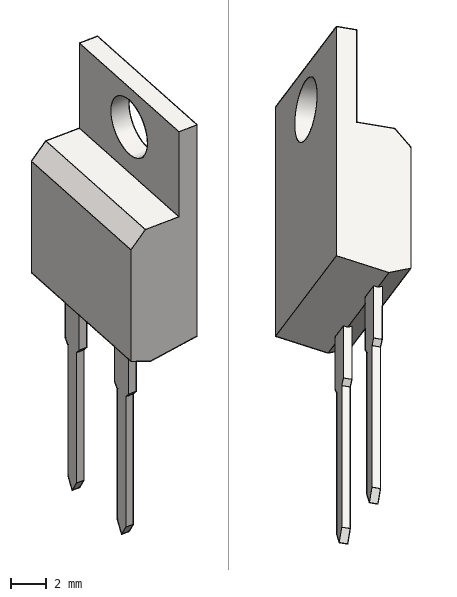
import cadquery as cq

width = 10.25
depth = 4.45
height = 28.52

tab_thickness = 1.23
hole_diameter = 3.75
hole_from_top = 2.75

body_top = 22.65
body_bottom = 13.4
bottom_rise = 0.5
chamfer_depth = 0.97
chamfer_height = 1.03
ridge_y = 1.3

lead_pitch = 5.08
lead_thickness = 0.5
wide_width = 1.45
narrow_width = 0.88
shoulder_top = 10.12
shoulder_bottom = 9.78
tip_height = 0.77
lead_embed = 0.85


def make_body():
    """Side profile of the body and tab, extruded across the width."""
    tab_front = depth - tab_thickness
    side_bottom = body_bottom + bottom_rise
    profile = [
        (depth, height),
        (tab_front, height),
        (tab_front, body_top),
        (chamfer_depth, body_top),
        (0, body_top - chamfer_height),
        (0, side_bottom),
        (ridge_y, body_bottom),
        (depth, side_bottom),
    ]
    return cq.Workplane("YZ").polyline(profile).close().extrude(width / 2, both=True)


def make_hole():
    """Cutter for the mounting hole through the tab."""
    return (
        cq.Workplane("XZ")
        .center(0, height - hole_from_top)
        .circle(hole_diameter / 2)
        .extrude(-depth)
    )


def make_lead(center_x):
    """Flat lead that narrows at a shoulder and ends in a point."""
    right_edge = [
        (narrow_width / 2, tip_height),
        (narrow_width / 2, shoulder_bottom),
        (wide_width / 2, shoulder_top),
        (wide_width / 2, body_bottom + lead_embed),
    ]
    left_edge = [(-x, z) for x, z in reversed(right_edge)]
    return (
        cq.Workplane("XZ")
        .polyline([(0, 0)] + right_edge + left_edge)
        .close()
        .extrude(lead_thickness / 2, both=True)
        .translate((center_x, ridge_y, 0))
    )


result = make_body().cut(make_hole())
for side in (-1, 1):
    result = result.union(make_lead(side * lead_pitch / 2))